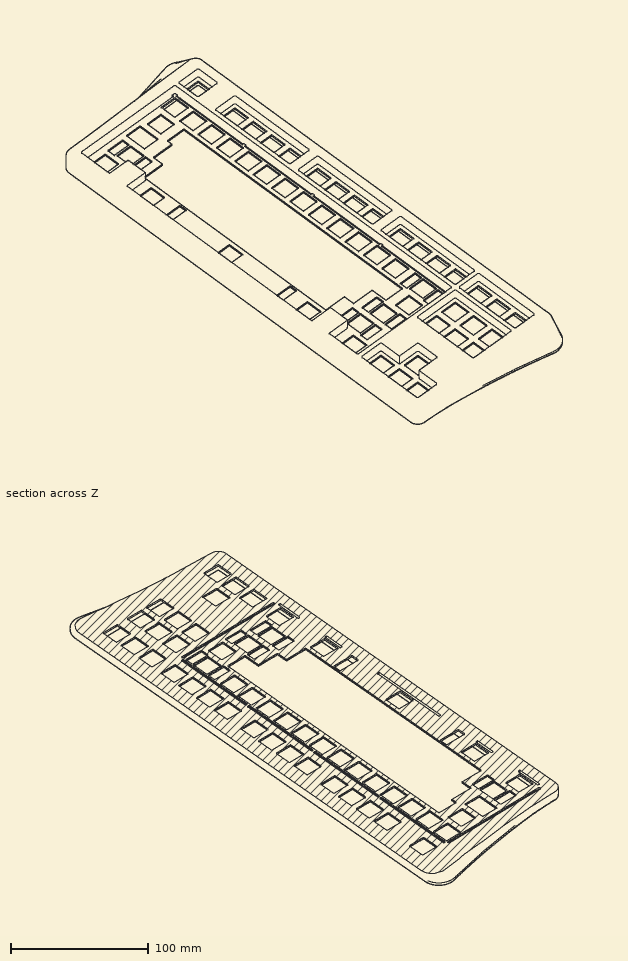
import cadquery as cq
import math

CASE_WIDTH_OVER_WINGS = 403.2
CASE_DEPTH = 140.01
CASE_HEIGHT = 17.5
BODY_WIDTH = 369.0
BODY_CORNER_RADIUS = 7.5
TOP_FILLET = 4.05
FLANGE_HEIGHT = 3.33
FLANGE_FILLET = FLANGE_HEIGHT / 2

WING_TIP_RADIUS = 14.0
WING_TIP_SWEEP = math.radians(14)
WING_SIDE_OFFSETS = [(-16.0, 3.8), (20.0, 9.6)]

UNIT = 19.05
FIELD_WIDTH_UNITS = 18.25
FIELD_DEPTH_UNITS = 6.25
MAIN_RIGHT = 15
NAV_LEFT = 15.25
NAV_RIGHT = FIELD_WIDTH_UNITS
NAV_FRONT = 3
NUMBER_REAR = 5
FUNCTION_FRONT = 5.25
FUNCTION_GROUPS = [(0, 1), (2, 6), (6.5, 10.5), (11, MAIN_RIGHT), (NAV_LEFT, NAV_RIGHT)]
BLANKED_KEYS = [(1.5, 2.5), (12.5, 13.5)]
ROW_F = 5.75
ROW_NUMBER = 4.5
ROW_Q = 3.5
ROW_A = 2.5
ROW_Z = 1.5
ROW_SPACE = 0.5

TAB = 0.75
PIPE = 14.25
STEPPED_CAPS_LOCK = (0.625, 0.875)
ENTER = 13.875
LEFT_SHIFT = 1.125
RIGHT_SHIFT = 13.625
BACKSPACE = 14
SPACE_BAR = 7.5
LEFT_ALT = 3.25
RIGHT_ALT = 11.75
NUMBER_KEY_COUNT = 13
NAV_KEY_COUNT = 3

PLATE_TOP = 9.0
PLATE_THICKNESS = 1.5
PLATE_BOTTOM = PLATE_TOP - PLATE_THICKNESS
WINDOW_MARGIN = 0.6
WINDOW_RADIUS = 1.0
SWITCH_SIZE = 14.0
CENTRE_OPENING_INSET = 1.0
CENTRE_OPENING_REAR = 4
CENTRE_OPENING_STEPS = [(1.5, 13.5, 3), (1.75, 12.75, 2), (2.25, 12.25, 1)]

STABILIZER_WIDTH = 6.75
STABILIZER_NEAR = 7.0
STABILIZER_FAR = 8.2
STABILIZER_OFFSET = 11.94
SPACE_STABILIZER_OFFSET = 3 * UNIT
SPACE_STABILIZER_REAR = 9.2
SPACE_STABILIZER_FRONT = 8.6

SLIT_WIDTH = 1.5
SLIT_BRIDGE = 2.4
SLIT_END_GAP = 2.8
REAR_SLIT_COUNT = 4
OUTER_SLIT_LENGTH = 21.0
ALT_SLIT_LENGTH = 16.4
SPACE_SLIT_LENGTH = 66.0
FRONT_SLITS = [
    (TAB, OUTER_SLIT_LENGTH),
    (LEFT_ALT, ALT_SLIT_LENGTH),
    (SPACE_BAR, SPACE_SLIT_LENGTH),
    (RIGHT_ALT, ALT_SLIT_LENGTH),
    (PIPE, OUTER_SLIT_LENGTH),
]


def grid_x(units):
    return (units - FIELD_WIDTH_UNITS / 2) * UNIT


def grid_y(units):
    return (units - FIELD_DEPTH_UNITS / 2) * UNIT


def block(x0, x1, y0, y1, z0, z1):
    """Box given by its limits along each axis."""
    return cq.Workplane("XY").box(x1 - x0, y1 - y0, z1 - z0, centered=False).translate((x0, y0, z0))


def grid_block(left, right, front, rear, margin, z0, z1):
    """Box over a range of key units, grown outward by a margin."""
    return block(
        grid_x(left) - margin,
        grid_x(right) + margin,
        grid_y(front) - margin,
        grid_y(rear) + margin,
        z0,
        z1,
    )


HALF_BODY = BODY_WIDTH / 2
HALF_DEPTH = CASE_DEPTH / 2
CORNER_X = HALF_BODY - BODY_CORNER_RADIUS
CORNER_Y = HALF_DEPTH - BODY_CORNER_RADIUS
TIP_X = CASE_WIDTH_OVER_WINGS / 2 - WING_TIP_RADIUS
TIP_Y = HALF_DEPTH - WING_TIP_RADIUS


def arc_point(centre_x, centre_y, radius, angle):
    return (centre_x + radius * math.cos(angle), centre_y + radius * math.sin(angle))


def corner_point(side_of_y, angle):
    """Point on a right-hand body corner: front if side_of_y is -1, rear if it is 1."""
    return arc_point(CORNER_X, side_of_y * CORNER_Y, BODY_CORNER_RADIUS, angle)


def tip_point(angle):
    """Point on the round rear tip of the right wing, with the angle taken from +X."""
    return arc_point(TIP_X, TIP_Y, WING_TIP_RADIUS, angle)


def mirrored(point):
    """The matching point on the left side of the case."""
    return (-point[0], point[1])


def flared_outline(z):
    """Outline at height z with a concave flare and a round rear tip on each side."""
    front_end = (HALF_BODY, -CORNER_Y)
    front_mid = corner_point(-1, -math.pi / 4)
    tip_start = tip_point(-WING_TIP_SWEEP)
    tip_mid = tip_point((math.pi / 2 - WING_TIP_SWEEP) / 2)
    flare = [front_end] + [(HALF_BODY + offset, y) for y, offset in WING_SIDE_OFFSETS] + [tip_start]
    sweep_x = math.sin(WING_TIP_SWEEP)
    sweep_y = math.cos(WING_TIP_SWEEP)
    return (
        cq.Workplane("XY", origin=(0, 0, z))
        .moveTo(-CORNER_X, -HALF_DEPTH)
        .lineTo(CORNER_X, -HALF_DEPTH)
        .threePointArc(front_mid, front_end)
        .spline(flare, tangents=[(0, 1), (sweep_x, sweep_y)])
        .threePointArc(tip_mid, (TIP_X, HALF_DEPTH))
        .lineTo(-TIP_X, HALF_DEPTH)
        .threePointArc(mirrored(tip_mid), mirrored(tip_start))
        .spline([mirrored(point) for point in reversed(flare)], tangents=[(sweep_x, -sweep_y), (0, -1)])
        .threePointArc(mirrored(front_mid), (-CORNER_X, -HALF_DEPTH))
        .close()
    )


def straight_outline(z):
    """Outline at height z without the wings: a rectangle with round corners."""
    front_mid = corner_point(-1, -math.pi / 4)
    rear_mid = corner_point(1, math.pi / 4)
    return (
        cq.Workplane("XY", origin=(0, 0, z))
        .moveTo(-CORNER_X, -HALF_DEPTH)
        .lineTo(CORNER_X, -HALF_DEPTH)
        .threePointArc(front_mid, (HALF_BODY, -CORNER_Y))
        .lineTo(HALF_BODY, CORNER_Y)
        .threePointArc(rear_mid, (CORNER_X, HALF_DEPTH))
        .lineTo(-CORNER_X, HALF_DEPTH)
        .threePointArc(mirrored(rear_mid), (-HALF_BODY, CORNER_Y))
        .lineTo(-HALF_BODY, -CORNER_Y)
        .threePointArc(mirrored(front_mid), (-CORNER_X, -HALF_DEPTH))
        .close()
    )


def make_shell():
    """Solid outer form: an upright flange, then sides drawn in to the straight top outline."""
    flange = flared_outline(0).extrude(FLANGE_HEIGHT).faces("<Z").edges().fillet(FLANGE_FILLET)
    lower = flared_outline(FLANGE_HEIGHT).val()
    upper = straight_outline(CASE_HEIGHT).val()
    body = cq.Workplane(cq.Solid.makeLoft([lower, upper], True))
    return flange.union(body.faces(">Z").edges().fillet(TOP_FILLET))


def window(left, right, front, rear):
    """Opening in the top deck around a group of keys, down to the plate."""
    opening = grid_block(left, right, front, rear, WINDOW_MARGIN, PLATE_TOP, CASE_HEIGHT)
    return opening.edges("|Z").fillet(WINDOW_RADIUS)


def make_main_window():
    """Window of the main key block, less the two blanked positions on its front row."""
    main_window = window(0, MAIN_RIGHT, 0, NUMBER_REAR)
    for left, right in BLANKED_KEYS:
        blank = grid_block(left, right, -1, 1, -WINDOW_MARGIN, PLATE_TOP, CASE_HEIGHT)
        main_window = main_window.cut(blank)
    return main_window


def cut_windows(case):
    """Key openings through the deck; the arrow keys share one inverted T."""
    for left, right in FUNCTION_GROUPS:
        case = case.cut(window(left, right, FUNCTION_FRONT, FIELD_DEPTH_UNITS))
    case = case.cut(make_main_window())
    case = case.cut(window(NAV_LEFT, NAV_RIGHT, NAV_FRONT, NUMBER_REAR))
    arrow_row = window(NAV_LEFT, NAV_RIGHT, 0, 1)
    up_arrow = window(NAV_LEFT + 1, NAV_RIGHT - 1, 0, 2)
    return case.cut(arrow_row.union(up_arrow))


def cut_cavity(case):
    """Single open space under the plate and deck, bounded by the outer walls."""
    cavity = grid_block(0, FIELD_WIDTH_UNITS, 0, FIELD_DEPTH_UNITS, WINDOW_MARGIN, 0, PLATE_BOTTOM)
    return case.cut(cavity.edges("|Z").fillet(WINDOW_RADIUS))


def plate_hole(x0, x1, y0, y1):
    return block(x0, x1, y0, y1, PLATE_BOTTOM, PLATE_TOP)


def switch_centres():
    """Centres of all switch holes; the two close ones on row A merge into one wide hole."""
    nav_columns = [NAV_LEFT + 0.5 + i for i in range(NAV_KEY_COUNT)]
    function_columns = [left + 0.5 + i for left, right in FUNCTION_GROUPS for i in range(int(right - left))]
    rows = {
        ROW_F: function_columns,
        ROW_NUMBER: [0.5 + i for i in range(NUMBER_KEY_COUNT)] + [BACKSPACE] + nav_columns,
        ROW_Q: [TAB, PIPE] + nav_columns,
        ROW_A: [*STEPPED_CAPS_LOCK, ENTER],
        ROW_Z: [LEFT_SHIFT, RIGHT_SHIFT, nav_columns[1]],
        ROW_SPACE: [TAB, LEFT_ALT, SPACE_BAR, RIGHT_ALT, PIPE] + nav_columns,
    }
    return [(grid_x(column), grid_y(row)) for row, columns in rows.items() for column in columns]


def cut_switches(case):
    half = SWITCH_SIZE / 2
    for x, y in switch_centres():
        case = case.cut(plate_hole(x - half, x + half, y - half, y + half))
    return case


def cut_stabilizers(case):
    """Pairs of slots beside the wide keys, each with its reach to the front and rear."""
    slots = [
        (BACKSPACE, ROW_NUMBER, STABILIZER_OFFSET, STABILIZER_FAR, STABILIZER_NEAR),
        (ENTER, ROW_A, STABILIZER_OFFSET, STABILIZER_NEAR, STABILIZER_FAR),
        (LEFT_SHIFT, ROW_Z, STABILIZER_OFFSET, STABILIZER_FAR, STABILIZER_NEAR),
        (RIGHT_SHIFT, ROW_Z, STABILIZER_OFFSET, STABILIZER_FAR, STABILIZER_NEAR),
        (SPACE_BAR, ROW_SPACE, SPACE_STABILIZER_OFFSET, SPACE_STABILIZER_FRONT, SPACE_STABILIZER_REAR),
    ]
    half = STABILIZER_WIDTH / 2
    for column, row, offset, front, rear in slots:
        y = grid_y(row)
        for x in (grid_x(column) - offset, grid_x(column) + offset):
            case = case.cut(plate_hole(x - half, x + half, y - front, y + rear))
    return case


def cut_centre_opening(case):
    """Stepped opening in place of the alphabet keys."""
    inset = CENTRE_OPENING_INSET
    rear = grid_y(CENTRE_OPENING_REAR) - inset
    for left, right, front in CENTRE_OPENING_STEPS:
        case = case.cut(plate_hole(grid_x(left) + inset, grid_x(right) - inset, grid_y(front) + inset, rear))
    return case


def cut_slits(case):
    """Slits at both sides, in sections along the rear, and in front of the front-row keys."""
    left = grid_x(0) - WINDOW_MARGIN
    right = grid_x(MAIN_RIGHT) + WINDOW_MARGIN
    front = grid_y(0) - WINDOW_MARGIN
    rear = grid_y(NUMBER_REAR) + WINDOW_MARGIN
    for x in (left, right - SLIT_WIDTH):
        case = case.cut(plate_hole(x, x + SLIT_WIDTH, front + SLIT_END_GAP, rear - SLIT_END_GAP))
    pitch = (right - left - 2 * SLIT_END_GAP + SLIT_BRIDGE) / REAR_SLIT_COUNT
    for i in range(REAR_SLIT_COUNT):
        x = left + SLIT_END_GAP + i * pitch
        case = case.cut(plate_hole(x, x + pitch - SLIT_BRIDGE, rear - SLIT_WIDTH, rear))
    for column, length in FRONT_SLITS:
        x = grid_x(column)
        case = case.cut(plate_hole(x - length / 2, x + length / 2, front, front + SLIT_WIDTH))
    return case


case = make_shell()
case = cut_cavity(case)
case = cut_windows(case)
case = cut_switches(case)
case = cut_stabilizers(case)
case = cut_centre_opening(case)
result = cut_slits(case)